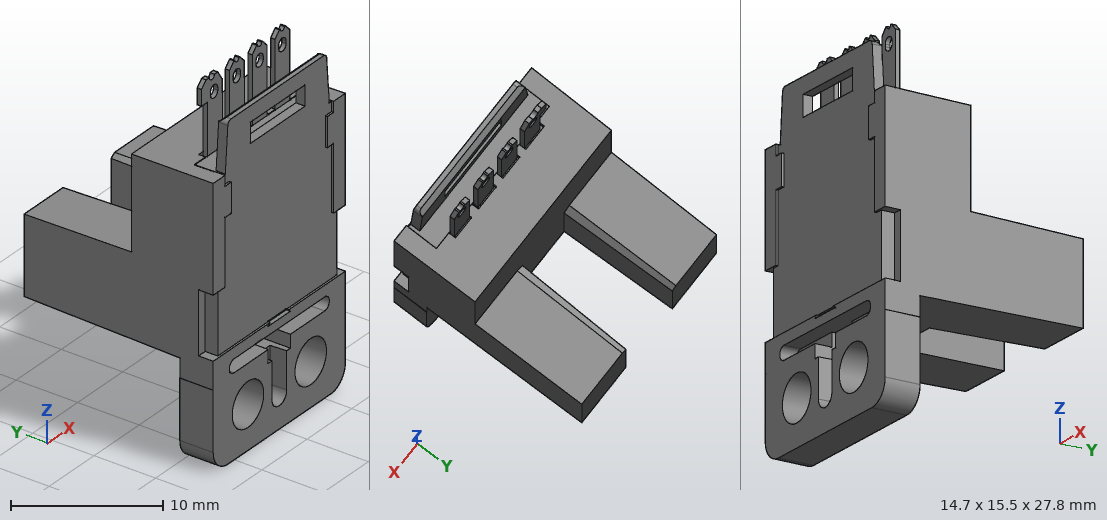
import cadquery as cq


WIDTH = 14.7
HALF_WIDTH = WIDTH / 2
HALF_WIDTH_REAR = 7.2
DEPTH = 15.5
BLOCK_DEPTH = 6.7
BLOCK_TOP = 22.05
BLOCK_TOP_REAR = 21.95
ARM_TOP_ROOT = 14.55
ARM_TOP_TIP = 14.37
ARM_BOTTOM_ROOT = 7.87
ARM_BOTTOM_TIP = 8.12

GAP_HALF_ROOT = 2.22
GAP_HALF_TIP = 2.47
GAP_TOP_HALF_ROOT = 2.78
GAP_TOP_HALF_TIP = 2.85
GAP_CHAMFER_ROOT = 0.4
GAP_CHAMFER_TIP = 0.28

FLANGE_THICKNESS = 2.72
FLANGE_STRAIGHT_TOP = 6.37
FLANGE_CORNER_RADIUS = 1.65
HOLE_DIAMETER = 3.5
HOLE_SPACING = 6.98
HOLE_Z = 3.5

GROOVE_DEPTH = 1.3
WIDE_GROOVE_LENGTH = 11.12
WIDE_GROOVE_BOTTOM = 6.62
RECESS_TOP = 7.67
RECESS_BOTTOM = 5.55
RECESS_WIDTH = 2.47
RECESS_DEPTH = 2.22
NARROW_GROOVE_WIDTH = 1.65
NARROW_GROOVE_BOTTOM = 1.78
NARROW_GROOVE_DRAFT = 3.0

COVER_FRONT = 0.17
COVER_BACK = 0.92
COVER_BOTTOM = 8.55
COVER_TOP = 25.85
COVER_SHOULDER = 21.95
COVER_SHOULDER_HALF = 5.78
COVER_TOP_HALF = 5.48
COVER_CORNER_RADIUS = 0.35
COVER_CHAMFER_HEIGHT = 0.3
COVER_CHAMFER_DEPTH = 0.4
COVER_RECESS_HALF = 6.03
FILL_BACK = 2.5
CLIP_HALF_GAP = 5.35
CLIP_BOTTOM = 18.85
CLIP_TOP = 21.2
WINDOW_CENTER_X = 0.05
WINDOW_WIDTH = 6.05
WINDOW_BOTTOM = 23.0
WINDOW_TOP = 24.6

SIDE_NOTCH_TOP = 13.57
SIDE_NOTCH_DEPTH = 1.2
SIDE_NOTCH_HALF = 6.62
PRY_SLOT_BOTTOM = 8.37
PRY_SLOT_TOP = 8.62
PRY_SLOT_HALF_BOTTOM = 1.22
PRY_SLOT_HALF_TOP = 1.03
PRY_SLOT_DEPTH = 0.33

PIN_FRONT = 2.53
PIN_BACK = 2.9
PIN_PITCH = 2.53
PIN_WIDTH = 1.65
PIN_TOP = 27.8
PIN_SHOULDER = 27.3
PIN_ROOT = 21.13
PIN_TIP_HALF = 0.33
PIN_NOTCH_RADIUS = 0.22
LOBED_PIN_NOTCH_RADIUS = 0.28
EYE_WIDTH = 0.8
EYE_HEIGHT = 1.0
EYE_Z = 26.52
PIN_POCKET_BACK = 3.05
PIN_POCKET_FLOOR = 21.4
PIN_POCKETS = [(-4.78, -2.8), (-2.17, -0.35), (0.33, 2.25), (2.97, 4.7)]


def box(x0, x1, y0, y1, z0, z1):
    """Box given by its limits along each axis."""
    return cq.Workplane("XY").box(x1 - x0, y1 - y0, z1 - z0, centered=False).translate((x0, y0, z0))


def plane_at(y):
    """Workplane at the given Y, with local x along +X, local y along +Z and its normal toward -Y."""
    return cq.Workplane("XZ", origin=(0, y, 0))


def symmetric_outline(right_side):
    """Closed outline points from the points of its +X side, listed bottom to top."""
    return right_side + [(-x, z) for x, z in reversed(right_side)]


def make_housing():
    side_profile = [
        (0, 0),
        (FLANGE_THICKNESS, 0),
        (FLANGE_THICKNESS, ARM_BOTTOM_ROOT),
        (DEPTH, ARM_BOTTOM_TIP),
        (DEPTH, ARM_TOP_TIP),
        (BLOCK_DEPTH, ARM_TOP_ROOT),
        (BLOCK_DEPTH, BLOCK_TOP_REAR),
        (0, BLOCK_TOP),
    ]
    profile = cq.Workplane("YZ").polyline(side_profile).close().extrude(HALF_WIDTH, both=True)
    plan = [
        (-HALF_WIDTH, 0),
        (HALF_WIDTH, 0),
        (HALF_WIDTH_REAR, DEPTH),
        (-HALF_WIDTH_REAR, DEPTH),
    ]
    drafted = cq.Workplane("XY").polyline(plan).close().extrude(BLOCK_TOP)
    flange = box(-HALF_WIDTH, HALF_WIDTH, 0, FLANGE_THICKNESS, 0, FLANGE_STRAIGHT_TOP)
    rounded = flange.edges("|Y and <Z").fillet(FLANGE_CORNER_RADIUS)
    upper = profile.intersect(drafted).cut(flange)
    return upper.union(rounded, clean=False)


def make_arm_gap():
    def section(half, top_half, arm_top, chamfer):
        return symmetric_outline([
            (half, 0),
            (half, arm_top - chamfer),
            (top_half, arm_top),
            (top_half, BLOCK_TOP),
        ])

    root = section(GAP_HALF_ROOT, GAP_TOP_HALF_ROOT, ARM_TOP_ROOT, GAP_CHAMFER_ROOT)
    tip = section(GAP_HALF_TIP, GAP_TOP_HALF_TIP, ARM_TOP_TIP, GAP_CHAMFER_TIP)
    return (
        plane_at(BLOCK_DEPTH).polyline(root).close()
        .workplane(offset=BLOCK_DEPTH - DEPTH).polyline(tip).close()
        .loft(ruled=True)
    )


def make_flange_cuts():
    holes = (
        plane_at(0).pushPoints([(-HOLE_SPACING / 2, HOLE_Z), (HOLE_SPACING / 2, HOLE_Z)])
        .circle(HOLE_DIAMETER / 2).extrude(-FLANGE_THICKNESS)
    )
    wide_groove = (
        plane_at(0).center(0, (WIDE_GROOVE_BOTTOM + RECESS_TOP) / 2)
        .slot2D(WIDE_GROOVE_LENGTH, RECESS_TOP - WIDE_GROOVE_BOTTOM).extrude(-GROOVE_DEPTH)
    )
    half_recess = RECESS_WIDTH / 2
    recess = box(-half_recess, half_recess, 0, RECESS_DEPTH, RECESS_BOTTOM, RECESS_TOP)
    narrow_groove = (
        plane_at(0).center(0, (NARROW_GROOVE_BOTTOM + RECESS_TOP) / 2)
        .slot2D(RECESS_TOP - NARROW_GROOVE_BOTTOM, NARROW_GROOVE_WIDTH, 90)
        .extrude(-GROOVE_DEPTH, taper=NARROW_GROOVE_DRAFT)
    )
    return holes.union(wide_groove).union(recess).union(narrow_groove)


def make_cover_recess():
    """Shallow front step down to the cover face, with the side clips left standing."""
    recess = box(-COVER_RECESS_HALF, COVER_RECESS_HALF, 0, COVER_FRONT, COVER_BOTTOM, BLOCK_TOP)
    above_fill = box(-COVER_RECESS_HALF, COVER_RECESS_HALF, 0, FILL_BACK, COVER_SHOULDER, BLOCK_TOP)
    for inner, outer in [(-CLIP_HALF_GAP, -COVER_RECESS_HALF), (CLIP_HALF_GAP, COVER_RECESS_HALF)]:
        clip = box(min(inner, outer), max(inner, outer), 0, COVER_FRONT, CLIP_BOTTOM, CLIP_TOP)
        recess = recess.cut(clip)
    return recess.union(above_fill)


def make_cover_base_cuts():
    """Side notches beside the cover, the step across its lower end and a small prying slot."""
    notches = box(-HALF_WIDTH, HALF_WIDTH, 0, SIDE_NOTCH_DEPTH, COVER_BOTTOM, SIDE_NOTCH_TOP).cut(
        box(-SIDE_NOTCH_HALF, SIDE_NOTCH_HALF, COVER_FRONT, SIDE_NOTCH_DEPTH, COVER_BOTTOM, SIDE_NOTCH_TOP)
    )
    pry_outline = symmetric_outline([
        (PRY_SLOT_HALF_BOTTOM, PRY_SLOT_BOTTOM),
        (PRY_SLOT_HALF_TOP, COVER_BOTTOM),
        (PRY_SLOT_HALF_TOP, PRY_SLOT_TOP),
    ])
    pry_slot = plane_at(0).polyline(pry_outline).close().extrude(-PRY_SLOT_DEPTH)
    return notches.union(pry_slot)


def make_cover_tongue():
    """Tapered part of the cover that stands above the block."""
    outline = symmetric_outline([(COVER_SHOULDER_HALF, COVER_SHOULDER), (COVER_TOP_HALF, COVER_TOP)])
    tongue = plane_at(COVER_FRONT).polyline(outline).close().extrude(COVER_FRONT - COVER_BACK)
    tongue = tongue.edges("|Y and >Z").fillet(COVER_CORNER_RADIUS)
    chamfer_profile = [
        (COVER_BACK, COVER_TOP - COVER_CHAMFER_HEIGHT),
        (COVER_BACK, COVER_TOP),
        (COVER_BACK - COVER_CHAMFER_DEPTH, COVER_TOP),
    ]
    chamfer = cq.Workplane("YZ").polyline(chamfer_profile).close().extrude(COVER_TOP_HALF, both=True)
    window_left = WINDOW_CENTER_X - WINDOW_WIDTH / 2
    window_right = WINDOW_CENTER_X + WINDOW_WIDTH / 2
    window = box(window_left, window_right, COVER_FRONT, COVER_BACK, WINDOW_BOTTOM, WINDOW_TOP)
    return tongue.cut(chamfer).cut(window)


def make_pin(outline, eye_x, notch_x, notch_radius):
    """Flat pin with an oval eye and a round notch in its tip."""
    thickness = PIN_BACK - PIN_FRONT
    blank = plane_at(PIN_FRONT).polyline(outline).close().extrude(-thickness)
    eye = plane_at(PIN_FRONT).center(eye_x, EYE_Z).slot2D(EYE_HEIGHT, EYE_WIDTH, 90).extrude(-thickness)
    notch = plane_at(PIN_FRONT).center(notch_x, PIN_TOP).circle(notch_radius).extrude(-thickness)
    return blank.cut(eye).cut(notch)


def make_plain_pin(x):
    outline = symmetric_outline([
        (PIN_WIDTH / 2, PIN_ROOT),
        (PIN_WIDTH / 2, PIN_SHOULDER),
        (PIN_TIP_HALF, PIN_TOP),
    ])
    return make_pin(outline, 0, 0, PIN_NOTCH_RADIUS).translate((x, 0, 0))


def make_lobed_pin():
    """End pin whose head widens toward -X."""
    right = -2.9
    stem_left = right - PIN_WIDTH
    lobe_left = -5.2
    lobe_bottom = 26.02
    right_shoulder = 27.05
    tip_left = -4.7
    tip_right = -3.4
    outline = [
        (stem_left, PIN_ROOT),
        (right, PIN_ROOT),
        (right, right_shoulder),
        (tip_right, PIN_TOP),
        (tip_left, PIN_TOP),
        (lobe_left, PIN_SHOULDER),
        (lobe_left, lobe_bottom),
        (stem_left, lobe_bottom),
    ]
    tip_middle = (tip_left + tip_right) / 2
    return make_pin(outline, -1.5 * PIN_PITCH, tip_middle, LOBED_PIN_NOTCH_RADIUS)


result = (
    make_housing()
    .cut(make_arm_gap())
    .cut(make_flange_cuts())
    .cut(make_cover_recess())
    .cut(make_cover_base_cuts())
)
for left, right in PIN_POCKETS:
    result = result.cut(box(left, right, FILL_BACK, PIN_POCKET_BACK, PIN_POCKET_FLOOR, BLOCK_TOP))

result = result.union(make_cover_tongue()).union(make_lobed_pin())
for pitch_offset in (-0.5, 0.5, 1.5):
    result = result.union(make_plain_pin(pitch_offset * PIN_PITCH))